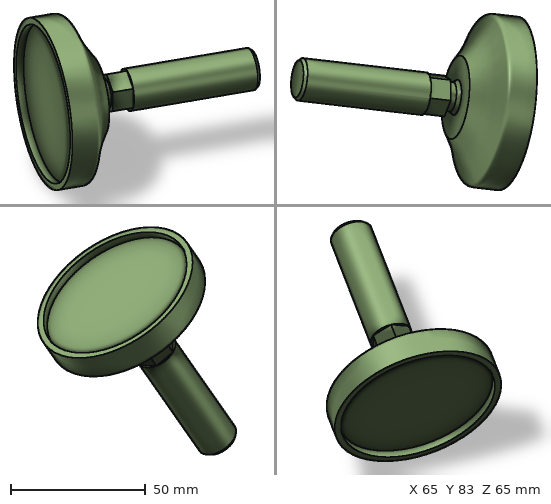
import cadquery as cq
import math

total_length = 83.0
stud_diameter = 16.0
stud_length = 50.0
stud_chamfer_length = 1.25
stud_chamfer_depth = 1.0

hex_across_flats = 13.95
hex_length = 8.05

neck_diameter = 11.0
neck_flare = 1.1
neck_flare_length = 1.6

pad_diameter = 65.0
pad_height = 20.6
band_height = 9.6
shoulder_radius = 2.15
shoulder_slope = math.radians(22.5)
crown_edge_radius = 16.3
crown_face_radius = 15.6
crown_edge_drop = 0.5

recess_diameter = 60.0
recess_depth = 3.0

hex_top = total_length - stud_length
hex_bottom = hex_top - hex_length
pad_radius = pad_diameter / 2
neck_radius = neck_diameter / 2


def shoulder_point(angle):
    """Point on the shoulder round, at an angle measured up from the radial direction."""
    return (
        pad_radius - shoulder_radius + shoulder_radius * math.cos(angle),
        band_height + shoulder_radius * math.sin(angle),
    )


def make_pad():
    """Revolved pad: straight band, rounded shoulder, concave flank and flat crown."""
    shoulder_end_angle = math.pi / 2 - shoulder_slope
    profile = (
        cq.Workplane("XY")
        .moveTo(0, 0)
        .lineTo(pad_radius, 0)
        .lineTo(pad_radius, band_height)
        .threePointArc(shoulder_point(shoulder_end_angle / 2), shoulder_point(shoulder_end_angle))
        .tangentArcPoint((crown_edge_radius, pad_height - crown_edge_drop), relative=False)
        .lineTo(crown_face_radius, pad_height)
        .lineTo(0, pad_height)
        .close()
    )
    return profile.revolve(360, (0, 0, 0), (0, 1, 0))


def make_recess():
    """Shallow round recess in the underside of the pad."""
    return cq.Workplane("XZ").circle(recess_diameter / 2).extrude(-recess_depth)


def make_neck():
    """Round neck that flares out where it meets the pad."""
    profile = (
        cq.Workplane("XY")
        .moveTo(0, pad_height)
        .lineTo(neck_radius + neck_flare, pad_height)
        .lineTo(neck_radius, pad_height + neck_flare_length)
        .lineTo(neck_radius, hex_bottom)
        .lineTo(0, hex_bottom)
        .close()
    )
    return profile.revolve(360, (0, 0, 0), (0, 1, 0))


def make_hex():
    """Wrench hexagon with two flats facing +X and -X and corners along Z."""
    across_corners = hex_across_flats / math.cos(math.pi / 6)
    return (
        cq.Workplane("XZ", origin=(0, hex_bottom, 0))
        .transformed(rotate=(0, 0, 90))
        .polygon(6, across_corners)
        .extrude(-hex_length)
    )


def make_stud():
    """Plain cylindrical stud, chamfered at its free end."""
    stud_radius = stud_diameter / 2
    profile = (
        cq.Workplane("XY")
        .moveTo(0, hex_top)
        .lineTo(stud_radius, hex_top)
        .lineTo(stud_radius, total_length - stud_chamfer_length)
        .lineTo(stud_radius - stud_chamfer_depth, total_length)
        .lineTo(0, total_length)
        .close()
    )
    return profile.revolve(360, (0, 0, 0), (0, 1, 0))


pad = make_pad().cut(make_recess())
result = pad.union(make_neck()).union(make_hex()).union(make_stud())